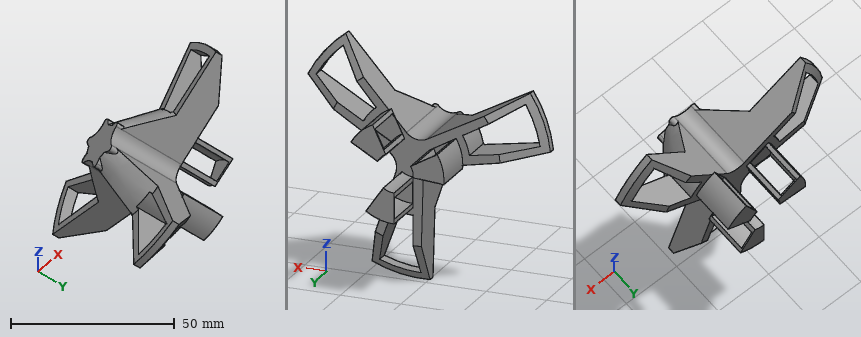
import cadquery as cq
import math

BLADE_COUNT = 3
BLADE_PITCH = 360 / BLADE_COUNT
FIRST_BLADE_ANGLE = 40

NOSE_LENGTH = 15.14
BLADE_DEPTH = 10.36
TAB_LENGTH = 15.14
RIM_DEPTH = 2.45
HUB_LENGTH = NOSE_LENGTH + BLADE_DEPTH

BLADE_RADIUS = 42.54
BLADE_REAR_RADIUS = 28.9
BLADE_TIP_HALF_ANGLE = 13.25
BLADE_FLARE = 8.4
CONE_FRONT_RADIUS = 6.35
CONE_BASE_RADIUS = 19.75
WEDGE_OVERRUN = 4.0

WINDOW_INNER_RADIUS = 19.0
WINDOW_OUTER_RADIUS = 40.0
WINDOW_HALF_ANGLE = 10

BETWEEN_BLADE_FILLET = 5.65
ON_BLADE_FILLET = 2.54
STAR_TIP_FILLET = 1.1
CORNER_TOLERANCE = 0.05
ON_BLADE_VALLEY_RADIUS = 6.1

TAB_INNER_RADIUS = 6.35
TAB_OUTER_RADIUS = 16.5
TAB_START_ANGLE = -WINDOW_HALF_ANGLE
TAB_SPAN = 34.5
PASSAGE_INNER_RADIUS = 8.0
PASSAGE_OUTER_RADIUS = 15.0
TAB_END_WALL = 0.5
TAB_BASE_WALL = 0.2
PASSAGE_OVERCUT = 10

FLARE_SLOPE = math.tan(math.radians(BLADE_FLARE))
TIP_HALF_WIDTH = BLADE_RADIUS * math.sin(math.radians(BLADE_TIP_HALF_ANGLE))
TIP_REACH = BLADE_RADIUS * math.cos(math.radians(BLADE_TIP_HALF_ANGLE))
ROOT_HALF_WIDTH = TIP_HALF_WIDTH - TIP_REACH * FLARE_SLOPE


def polar(radius, angle):
    """Point at a radius and an angle in degrees."""
    return (radius * math.cos(math.radians(angle)), radius * math.sin(math.radians(angle)))


def extrude_along_y(profile, y_start, y_end):
    """Extrude a profile builder (x, z plane) from y_start to y_end."""
    plane = cq.Workplane("XZ", origin=(0, y_end, 0))
    return profile(plane).extrude(y_end - y_start)


def ring_sector(inner_radius, outer_radius, start_angle, end_angle, y_start, y_end):
    """Part of a ring about the Y axis."""
    middle_angle = (start_angle + end_angle) / 2

    def profile(plane):
        return (
            plane.moveTo(*polar(inner_radius, start_angle))
            .lineTo(*polar(outer_radius, start_angle))
            .threePointArc(polar(outer_radius, middle_angle), polar(outer_radius, end_angle))
            .lineTo(*polar(inner_radius, end_angle))
            .threePointArc(polar(inner_radius, middle_angle), polar(inner_radius, start_angle))
            .close()
        )

    return extrude_along_y(profile, y_start, y_end)


def turned_to_blade(shape, index):
    """Turn a shape built along +X to the direction of one blade."""
    return shape.rotate((0, 0, 0), (0, 1, 0), -(FIRST_BLADE_ANGLE + index * BLADE_PITCH))


def make_blade():
    """Flared blade with a conical front gusset and a conical rear bevel at its tip."""
    reach = BLADE_RADIUS + WEDGE_OVERRUN
    end_half_width = ROOT_HALF_WIDTH + reach * FLARE_SLOPE
    wedge_points = [
        (0, -ROOT_HALF_WIDTH),
        (reach, -end_half_width),
        (reach, end_half_width),
        (0, ROOT_HALF_WIDTH),
    ]
    wedge = extrude_along_y(lambda plane: plane.polyline(wedge_points).close(), -HUB_LENGTH, 0)

    turned_profile = [
        (0, -HUB_LENGTH),
        (CONE_FRONT_RADIUS, -HUB_LENGTH),
        (CONE_BASE_RADIUS, -BLADE_DEPTH),
        (BLADE_RADIUS, -BLADE_DEPTH),
        (BLADE_RADIUS, -BLADE_DEPTH + RIM_DEPTH),
        (BLADE_REAR_RADIUS, 0),
        (0, 0),
    ]
    turned_body = cq.Workplane("XY").polyline(turned_profile).close().revolve(360, (0, 0), (0, 1))
    return wedge.intersect(turned_body)


def make_window():
    """Cutter for the opening through a blade."""
    return ring_sector(
        WINDOW_INNER_RADIUS,
        WINDOW_OUTER_RADIUS,
        -WINDOW_HALF_ANGLE,
        WINDOW_HALF_ANGLE,
        -HUB_LENGTH,
        0,
    )


def make_tab():
    """Ring-sector tab with a passage running around the hub axis through it."""
    end_angle = TAB_START_ANGLE + TAB_SPAN
    tab = ring_sector(TAB_INNER_RADIUS, TAB_OUTER_RADIUS, TAB_START_ANGLE, end_angle, 0, TAB_LENGTH)
    passage = ring_sector(
        PASSAGE_INNER_RADIUS,
        PASSAGE_OUTER_RADIUS,
        TAB_START_ANGLE - PASSAGE_OVERCUT,
        end_angle + PASSAGE_OVERCUT,
        TAB_BASE_WALL,
        TAB_LENGTH - TAB_END_WALL,
    )
    return tab.cut(passage)


def make_hub():
    """Six-pointed star prism: its points lie on the blade sides, and all its corners are rounded."""
    half_pitch = BLADE_PITCH / 2
    between_radius = ROOT_HALF_WIDTH / (
        math.sin(math.radians(half_pitch)) - math.cos(math.radians(half_pitch)) * FLARE_SLOPE
    )
    valley_half_angle = math.radians(half_pitch - BLADE_FLARE)
    on_blade_radius = ON_BLADE_VALLEY_RADIUS - ON_BLADE_FILLET * (1 / math.sin(valley_half_angle) - 1)
    flank_slope = math.tan(valley_half_angle)
    tip_x = (ROOT_HALF_WIDTH + on_blade_radius * flank_slope) / (flank_slope - FLARE_SLOPE)
    tip_z = ROOT_HALF_WIDTH + tip_x * FLARE_SLOPE
    tip_radius = math.hypot(tip_x, tip_z)
    tip_angle = math.degrees(math.atan2(tip_z, tip_x))

    points = []
    for index in range(BLADE_COUNT):
        angle = FIRST_BLADE_ANGLE + index * BLADE_PITCH
        points.append(polar(tip_radius, angle - tip_angle))
        points.append(polar(on_blade_radius, angle))
        points.append(polar(tip_radius, angle + tip_angle))
        points.append(polar(between_radius, angle + half_pitch))
    hub = extrude_along_y(lambda plane: plane.polyline(points).close(), -HUB_LENGTH, 0)

    corner_fillets = [
        (between_radius, BETWEEN_BLADE_FILLET),
        (on_blade_radius, ON_BLADE_FILLET),
        (tip_radius, STAR_TIP_FILLET),
    ]

    for corner_radius, fillet_radius in corner_fillets:
        corners = [
            edge
            for edge in hub.edges("|Y").vals()
            if abs(math.hypot(edge.Center().x, edge.Center().z) - corner_radius) < CORNER_TOLERANCE
        ]
        hub = cq.Workplane(hub.val().fillet(fillet_radius, corners))
    return hub


result = make_hub()
for blade_index in range(BLADE_COUNT):
    result = result.union(turned_to_blade(make_blade().cut(make_window()), blade_index))
    result = result.union(turned_to_blade(make_tab(), blade_index))